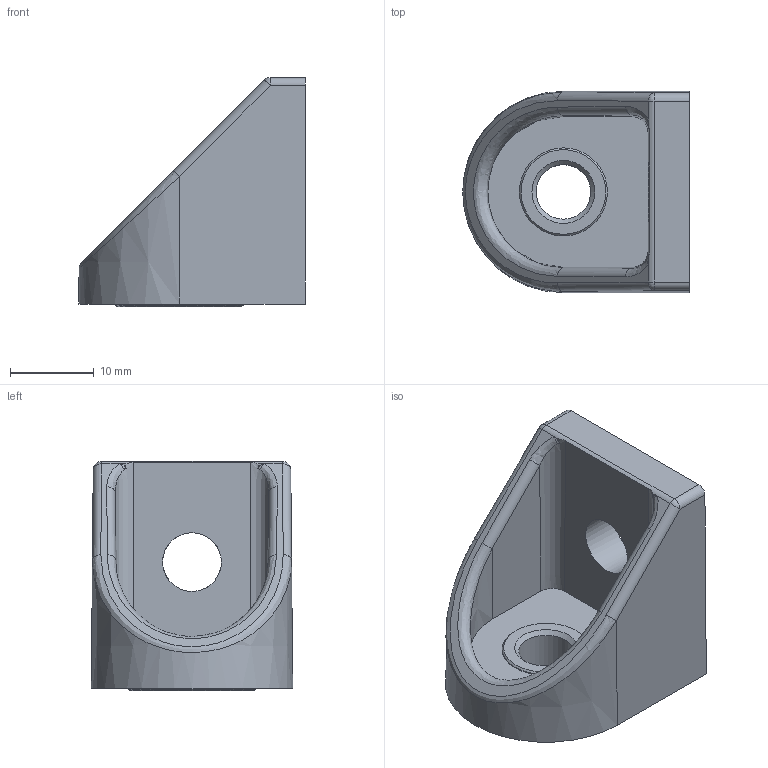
import cadquery as cq
import math


half_width = 12.0
back_x = 15.0
height = 27.0
draft_angle = 0.5

slope_angle = math.radians(45)
ridge_x = 10.4

wall_thickness = 3.0
back_wall_thickness = 4.9
floor_thickness = 5.0
pocket_corner_radius = 2.0
pocket_half_width = half_width - wall_thickness
pocket_back_x = back_x - back_wall_thickness

edge_radius = 1.0

floor_hole_diameter = 6.5
floor_hole_chamfer = 0.5
seat_diameter = 10.5
seat_height = 0.3
seat_chamfer = 0.2
foot_diameter = 15.2
foot_height = 0.3
foot_chamfer = 0.15

wall_hole_diameter = 7.0
wall_hole_z = 15.0

clearance = 5.0


def make_block():
    """Drafted block with its vertical back face and its slope cut to shape."""
    drafted = (
        cq.Workplane("XY")
        .moveTo(back_x + clearance, -half_width)
        .lineTo(0, -half_width)
        .threePointArc((-half_width, 0), (0, half_width))
        .lineTo(back_x + clearance, half_width)
        .close()
        .extrude(height, taper=draft_angle)
    )
    side_profile = (
        cq.Workplane("XZ")
        .moveTo(back_x, 0)
        .lineTo(back_x, height)
        .lineTo(ridge_x, height)
        .lineTo(ridge_x - height / math.tan(slope_angle), 0)
        .close()
        .extrude(half_width, both=True)
    )
    return drafted.intersect(side_profile)


def slope_face(body):
    """The planar face that looks forward and up along the slope's normal."""
    normal = cq.Vector(-math.sin(slope_angle), 0, math.cos(slope_angle))
    return body.faces(cq.selectors.DirectionMinMaxSelector(normal, True))


def round_outer_edges(body):
    """Round the whole outline of the slope and the two sides of the flat top."""
    slope_edges = slope_face(body).edges()
    top_side_edges = body.faces(">Z").edges("not |Y")
    return slope_edges.add(top_side_edges).fillet(edge_radius)


def make_pocket():
    """Pocket volume: round front and two rounded back corners, open at the top."""
    corner_x = pocket_back_x - pocket_corner_radius
    corner_y = pocket_half_width - pocket_corner_radius
    arc_offset = pocket_corner_radius * math.sqrt(0.5)
    return (
        cq.Workplane("XY", origin=(0, 0, floor_thickness))
        .moveTo(pocket_back_x, -corner_y)
        .threePointArc((corner_x + arc_offset, -corner_y - arc_offset), (corner_x, -pocket_half_width))
        .lineTo(0, -pocket_half_width)
        .threePointArc((-pocket_half_width, 0), (0, pocket_half_width))
        .lineTo(corner_x, pocket_half_width)
        .threePointArc((corner_x + arc_offset, corner_y + arc_offset), (pocket_back_x, corner_y))
        .close()
        .extrude(height, taper=-draft_angle)
    )


def round_pocket_rim(body):
    """Round the pocket rim on the slope, keeping it sharp along the back wall."""
    mid_wall = half_width - wall_thickness / 2

    def is_rim(edge):
        middle = edge.positionAt(0.5)
        return -mid_wall < middle.x < pocket_back_x and abs(middle.y) < mid_wall

    rim_edges = [edge for edge in slope_face(body).edges().vals() if is_rim(edge)]
    rounded = body.newObject(rim_edges).fillet(edge_radius)

    ridge_rounding_length = edge_radius * math.tan(slope_angle / 2)
    slope_end_x = ridge_x - ridge_rounding_length * math.cos(slope_angle)
    behind_slope = (
        cq.Workplane("XY", origin=(slope_end_x, 0, height - 2 * edge_radius))
        .box(back_wall_thickness, 2 * half_width, height, centered=(False, True, False))
    )
    return rounded.union(body.intersect(behind_slope)).clean()


def add_seat_and_foot(body):
    """Add the round seat on the pocket floor and the chamfered foot under the block."""
    seat = (
        cq.Workplane("XY", origin=(0, 0, floor_thickness))
        .circle(seat_diameter / 2)
        .extrude(seat_height)
        .faces(">Z")
        .chamfer(seat_chamfer)
    )
    foot = (
        cq.Workplane("XY")
        .circle(foot_diameter / 2)
        .extrude(-foot_height)
        .faces("<Z")
        .chamfer(foot_chamfer)
    )
    return body.union(seat).union(foot)


def cut_floor_hole(body):
    """Cut the vertical hole through foot, floor and seat, chamfered at the top."""
    seat_top = floor_thickness + seat_height
    hole_radius = floor_hole_diameter / 2
    hole = (
        cq.Workplane("XZ")
        .moveTo(0, -foot_height)
        .lineTo(hole_radius, -foot_height)
        .lineTo(hole_radius, seat_top - floor_hole_chamfer)
        .lineTo(hole_radius + floor_hole_chamfer, seat_top)
        .lineTo(0, seat_top)
        .close()
        .revolve(360, (0, 0, 0), (0, 1, 0))
    )
    return body.cut(hole)


def cut_wall_hole(body):
    """Cut the horizontal hole through the back wall."""
    hole = (
        cq.Workplane("YZ", origin=(back_x + clearance, 0, 0))
        .center(0, wall_hole_z)
        .circle(wall_hole_diameter / 2)
        .extrude(-back_wall_thickness - 2 * clearance)
    )
    return body.cut(hole)


body = round_outer_edges(make_block())
body = round_pocket_rim(body.cut(make_pocket()))
body = add_seat_and_foot(body)
body = cut_floor_hole(body)
result = cut_wall_hole(body)